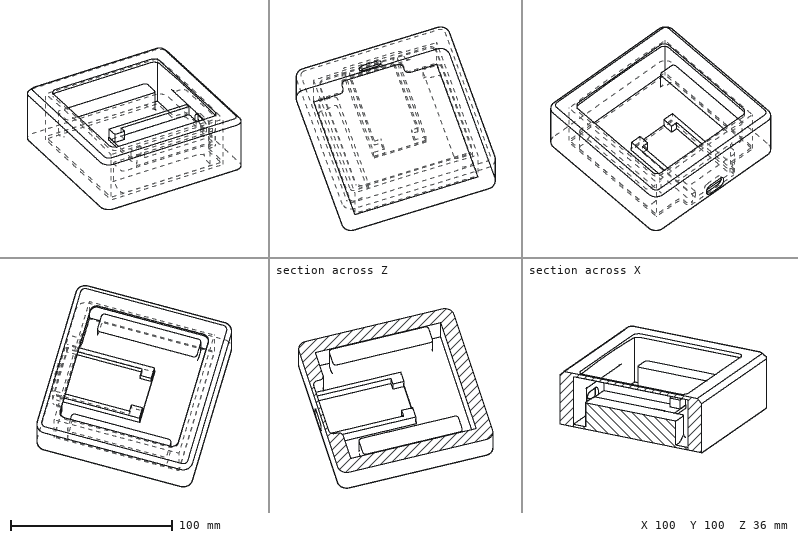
import cadquery as cq
OUTER_SIDE = 100.0
HEIGHT = 36.0
CORNER_RADIUS = 6.0
TOP_CHAMFER = 3.0
CAVITY_SIDE = 80.4
LIP_THICKNESS = 2.6
ROOF_CROWN = 1.3
OPENING_SIDE = 76.0
OPENING_RADIUS = 4.0

RECESS_WIDTH = 40.0
RECESS_WALL = 2.2
RECESS_TOP = 20.0
RECESS_FILLET = 3.0

SLOT_WIDTH = 14.0
SLOT_HEIGHT = 8.0
SLOT_CORNER_RADIUS = 3.0
SLOT_CENTER_Z = 5.6

FLOOR_TOP = 2.0

RIB_INNER_X = 28.0
RIB_OUTER_X = 40.0
RIB_LENGTH = 64.0
RIB_TOP = 18.0
RIB_CORNER_RADIUS = 2.0
RIB_FILLET = 4.0

PLATFORM_TOP = 4.0
PLATFORM_FRONT_Y = -8.4
RAIL_OUTER_X = 17.1
RAIL_INNER_X = 14.3
RAIL_TOP = 9.9
RAIL_FRONT_Y = -8.1
HOOK_INNER_X = 10.0
HOOK_BACK_Y = -1.0

RECESS_BACK_Y = OUTER_SIDE / 2 - RECESS_WALL


def box_beside(side, inner_x, outer_x, front_y, back_y, top_z):
    """Box on the floor between two distances from the YZ plane, at +X (side 1) or -X (side -1)."""
    block = cq.Workplane("XY").box(
        outer_x - inner_x, back_y - front_y, top_z - FLOOR_TOP, centered=False
    )
    left_x = min(side * inner_x, side * outer_x)
    return block.translate((left_x, front_y, FLOOR_TOP))


def inner_prism(height):
    """Prism on z = 0 shaped like the square cavity together with its back recess."""
    side = RECESS_WIDTH / 2
    back = RECESS_BACK_Y
    wall = CAVITY_SIDE / 2
    r = RECESS_FILLET
    recess = (
        cq.Workplane("XY")
        .moveTo(-side - r, wall)
        .radiusArc((-side, wall + r), -r)
        .lineTo(-side, back - r)
        .radiusArc((-side + r, back), r)
        .lineTo(side - r, back)
        .radiusArc((side, back - r), r)
        .lineTo(side, wall + r)
        .radiusArc((side + r, wall), -r)
        .close()
        .extrude(height)
    )
    return recess.union(cq.Workplane("XY").rect(CAVITY_SIDE, CAVITY_SIDE).extrude(height))


def cavity_block():
    """Square cavity whose roof is arched from left to right."""
    half = CAVITY_SIDE / 2
    spring_z = HEIGHT - LIP_THICKNESS
    return (
        cq.Workplane("XZ", origin=(0, half, 0))
        .moveTo(-half, 0)
        .lineTo(-half, spring_z)
        .threePointArc((0, spring_z + ROOF_CROWN), (half, spring_z))
        .lineTo(half, 0)
        .close()
        .extrude(CAVITY_SIDE)
    )


def make_housing():
    shell = (
        cq.Workplane("XY")
        .rect(OUTER_SIDE, OUTER_SIDE)
        .extrude(HEIGHT)
        .edges("|Z")
        .fillet(CORNER_RADIUS)
        .faces(">Z")
        .edges()
        .chamfer(TOP_CHAMFER)
    )
    opening = (
        cq.Workplane("XY")
        .rect(OPENING_SIDE, OPENING_SIDE)
        .extrude(HEIGHT)
        .edges("|Z")
        .fillet(OPENING_RADIUS)
    )
    slot = (
        cq.Workplane("XZ", origin=(0, OUTER_SIDE / 2, SLOT_CENTER_Z))
        .rect(SLOT_WIDTH, SLOT_HEIGHT)
        .extrude(RECESS_WALL)
        .edges("|Y")
        .fillet(SLOT_CORNER_RADIUS)
    )
    return shell.cut(cavity_block()).cut(opening).cut(inner_prism(RECESS_TOP)).cut(slot)


def add_rib(base, side):
    """Add one rib: a narrow root with a fillet at the floor, widened outward by a rounded block."""
    half_length = RIB_LENGTH / 2
    root_width = 2 * RIB_CORNER_RADIUS
    root_x = side * (RIB_INNER_X + RIB_CORNER_RADIUS)
    root = (
        cq.Workplane("XY", origin=(root_x, 0, FLOOR_TOP))
        .slot2D(RIB_LENGTH, root_width, 90)
        .extrude(RIB_TOP - FLOOR_TOP)
    )
    margin = 0.1
    root_edges = cq.selectors.BoxSelector(
        (root_x - root_width, -half_length - margin, FLOOR_TOP - margin),
        (root_x + root_width, half_length + margin, FLOOR_TOP + margin),
    )
    filleted = base.union(root).edges(root_edges).fillet(RIB_FILLET)
    block = box_beside(side, RIB_INNER_X, RIB_OUTER_X, -half_length, half_length, RIB_TOP)
    return filleted.union(block.edges("|Z").fillet(RIB_CORNER_RADIUS))


def make_rail(side):
    """Rail along Y with a hook at its front end that points inward."""
    bar = box_beside(side, RAIL_INNER_X, RAIL_OUTER_X, RAIL_FRONT_Y, RECESS_BACK_Y, RAIL_TOP)
    hook = box_beside(side, HOOK_INNER_X, RAIL_OUTER_X, RAIL_FRONT_Y, HOOK_BACK_Y, RAIL_TOP)
    return bar.union(hook)


def make_base():
    base = inner_prism(FLOOR_TOP)
    for side in (-1, 1):
        base = add_rib(base, side)
    platform = box_beside(
        1, -RAIL_OUTER_X, RAIL_OUTER_X, PLATFORM_FRONT_Y, RECESS_BACK_Y, PLATFORM_TOP
    )
    base = base.union(platform)
    for side in (-1, 1):
        base = base.union(make_rail(side))
    return base


housing = make_housing()
base = make_base()

result = cq.Compound.makeCompound([housing.val(), base.val()])